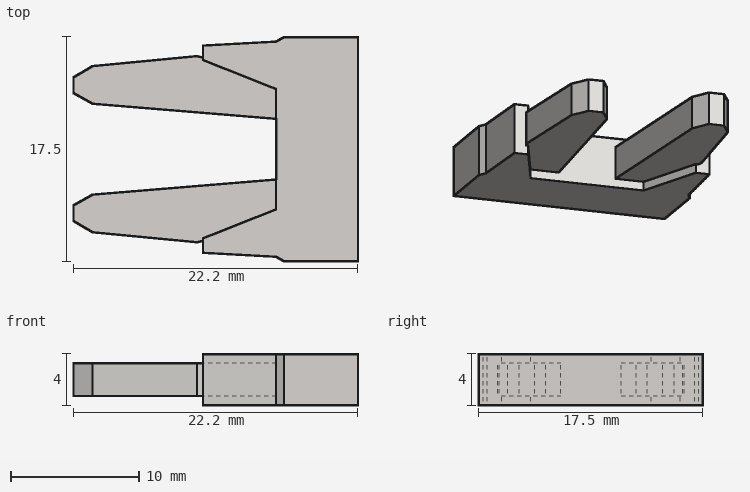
import cadquery as cq

length = 22.23
width = 17.5
body_thickness = 4.0
prong_thickness = 2.58

arm_end_x = 10.11
bridge_x = 15.83
step_end_x = 16.43
arm_end_outer_y = 8.1
arm_root_outer_y = 8.4
arm_end_inner_y = 6.95
arm_root_inner_y = 4.7

shoulder_x = 1.51
prong_kink_x = 9.65
tip_inner_y = 4.38
tip_outer_y = 5.6
shoulder_inner_y = 3.53
shoulder_outer_y = 6.5
prong_kink_y = 7.27
prong_kink_drop = 0.11
prong_root_inner_y = 2.35


def centred_plate(points, thickness):
    """Extrude a closed XY outline symmetrically about Z = 0."""
    return cq.Workplane("XY").polyline(points).close().extrude(thickness / 2, both=True)


def make_body():
    upper_half = [
        (bridge_x, arm_root_inner_y),
        (arm_end_x, arm_end_inner_y),
        (arm_end_x, arm_end_outer_y),
        (bridge_x, arm_root_outer_y),
        (step_end_x, width / 2),
        (length, width / 2),
    ]
    lower_half = [(x, -y) for x, y in reversed(upper_half)]
    return centred_plate(upper_half + lower_half, body_thickness)


def make_prong():
    """Prong on the +Y side: pointed tip, widening blade, kinked where it enters the arm."""
    outline = [
        (0, tip_inner_y),
        (0, tip_outer_y),
        (shoulder_x, shoulder_outer_y),
        (prong_kink_x, prong_kink_y),
        (arm_end_x, prong_kink_y - prong_kink_drop),
        (bridge_x, arm_root_inner_y),
        (bridge_x, prong_root_inner_y),
        (shoulder_x, shoulder_inner_y),
    ]
    return centred_plate(outline, prong_thickness)


prong = make_prong()
result = make_body().union(prong).union(prong.mirror("XZ"))